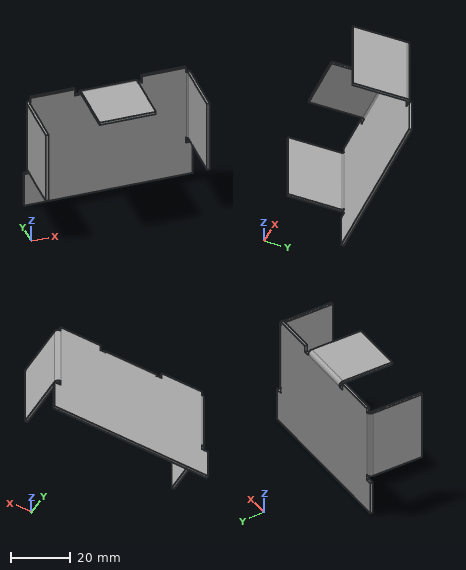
import cadquery as cq
import math

thickness = 1.0
inner_radius = 0.55
outer_radius = inner_radius + thickness

base_width = 60.0
plate_height = 43.75
base_height = 12.95
relief = 2.0

flange_depth = 21.05
side_flange_span = 58.4
side_flange_height = 27.05
top_flange_width = 20.05
top_flange_drop = 0.85
top_notch_depth = 2.5

side_flange_bottom = base_height + relief
body_width = side_flange_span - 2 * outer_radius
top_flange_z = plate_height - top_flange_drop
top_bend_start = top_flange_z - outer_radius
top_notch_floor = plate_height - top_notch_depth
top_notch_width = top_flange_width + 2 * relief


def block(width, bottom, top):
    """Sheet-thick block centred on X, with its rear face at Y = 0."""
    return (
        cq.Workplane("XY")
        .box(width, thickness, top - bottom, centered=(True, False, False))
        .translate((0, -thickness, bottom))
    )


def flange(length):
    """Bend and leaf: the bend leaves the plate at X = 0 and the leaf runs to -Y.

    The profile lies in XY and is extruded along Z from 0 to length.
    """
    diagonal = math.sqrt(0.5)
    outer_mid = outer_radius * diagonal
    inner_mid = inner_radius * diagonal
    return (
        cq.Workplane("XY")
        .moveTo(0, 0)
        .threePointArc((outer_mid, outer_mid - outer_radius), (outer_radius, -outer_radius))
        .lineTo(outer_radius, -flange_depth)
        .lineTo(inner_radius, -flange_depth)
        .lineTo(inner_radius, -outer_radius)
        .threePointArc((inner_mid, inner_mid - outer_radius), (0, -thickness))
        .close()
        .extrude(length)
    )


plate = block(base_width, 0, base_height).union(block(body_width, 0, plate_height))
plate = plate.cut(block(top_notch_width, top_notch_floor, plate_height))

plate = plate.union(block(top_flange_width, 0, top_bend_start))

right_flange = flange(side_flange_height).translate((body_width / 2, 0, side_flange_bottom))
left_flange = right_flange.mirror("YZ")

top_flange = (
    flange(top_flange_width)
    .rotate((0, 0, 0), (0, 1, 0), -90)
    .translate((top_flange_width / 2, 0, top_bend_start))
)

body = plate.union(right_flange).union(left_flange).union(top_flange)

result = body.translate((0, flange_depth / 2, -plate_height / 2))